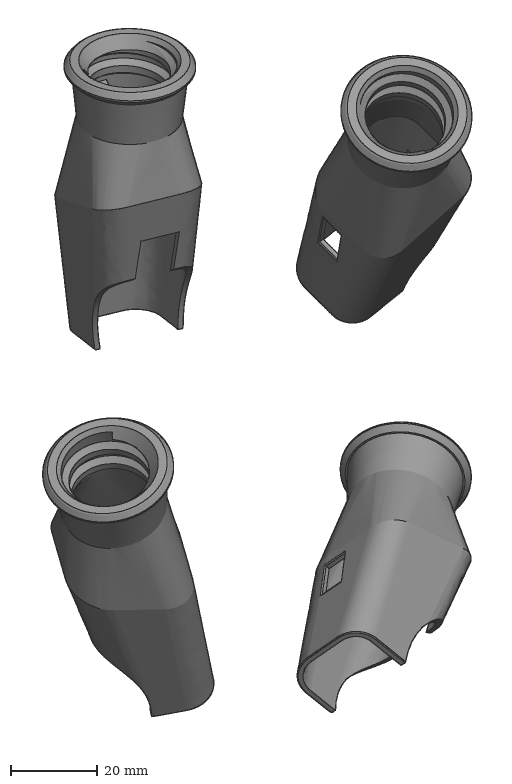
import cadquery as cq
import math

collar_center = cq.Vector(22.7, 15.3, 74.4)
collar_axis = cq.Vector(0.098, -0.046, 1).normalized()
collar_depth = 13.6
flange_radius = 15.3
flange_face_radius = 14.0
flange_step_radius = 14.35
flange_step = 0.3
flange_half_height = 1.7
flange_rim_half_height = 0.2
collar_top_radius = 13.6
collar_base_radius = 12.3
wall = 1.4
bore_radius = collar_base_radius - wall
mouth_radius = 11.9
mouth_depth = 1.2

thread_pitch = 5.4
thread_height = 1.5
thread_root_width = 4.65
thread_crest_width = 1.9
thread_turns = 2.2
thread_overlap = 0.3
thread_start_depth = 11.65

bottom_left, bottom_right = 0, 23.2
bottom_front, bottom_back = 9.55, 33.1
shoulder_left, shoulder_right = 4.35, 34.5
shoulder_back = 31.7
shoulder_left_height = 36.7
shoulder_slope = 0.272
front_lean = 0.171
bottom_corner_lengths = [6.2, 5.6, 8.0, 8.0]
shoulder_corner_lengths = [6.2, 6.45, 9.7, 8.9]

scoop_radius = 27.15
scoop_start = 16.45
window_front, window_back = 17.4, 23.4
window_bottom, window_top = 22.7, 33.7
window_bevel = 0.3
foot_chamfer = 0.2
slot_front = 13.2
middle_x = 15.5
past_part = 46.55


def shoulder_height(x):
    return shoulder_left_height + shoulder_slope * (x - shoulder_left)


def shoulder_front(x):
    return bottom_front - front_lean * shoulder_height(x)


def rounded_edges(corners, lengths):
    """Closed outline of alternating corner arcs and straight sides."""
    arcs = []
    for i, corner in enumerate(corners):
        to_previous = (corners[i - 1] - corner).normalized() * lengths[i]
        to_next = (corners[(i + 1) % len(corners)] - corner).normalized() * lengths[i]
        middle = corner + (to_previous + to_next) * (1 - math.sqrt(0.5))
        arcs.append((corner + to_previous, middle, corner + to_next))
    edges = []
    for i, arc in enumerate(arcs):
        edges.append(cq.Edge.makeThreePointArc(*arc))
        edges.append(cq.Edge.makeLine(arc[2], arcs[(i + 1) % len(arcs)][0]))
    return cq.Wire.assembleEdges(edges)


def bottom_wire(inset):
    left, right = bottom_left + inset, bottom_right - inset
    front, back = bottom_front + inset, bottom_back - inset
    plan = [(left, front), (right, front), (right, back), (left, back)]
    corners = [cq.Vector(x, y, 0) for x, y in plan]
    return rounded_edges(corners, [length - inset for length in bottom_corner_lengths])


def shoulder_wire(inset):
    left, right = shoulder_left + inset, shoulder_right - inset
    back = shoulder_back - inset
    plan = [
        (left, shoulder_front(left) + inset),
        (right, shoulder_front(right) + inset),
        (right, back),
        (left, back),
    ]
    corners = [cq.Vector(x, y, shoulder_height(x)) for x, y in plan]
    return rounded_edges(corners, [length - inset for length in shoulder_corner_lengths])


def collar_base_wire(radius):
    """Circle split into eight arcs, one for each edge of the shoulder outline."""
    center = collar_center - collar_axis * collar_depth
    across = (cq.Vector(1, 0, 0) - collar_axis * collar_axis.x).normalized()
    along = collar_axis.cross(across)

    def point(degrees):
        angle = math.radians(degrees)
        return center + across * (radius * math.cos(angle)) + along * (radius * math.sin(angle))

    corner_span = 56
    side_span = 90 - corner_span
    edges = []
    for quarter in range(4):
        start = 180 + side_span / 2 + 90 * quarter
        end = start + corner_span
        next_start = start + 90
        for first, last in ((start, end), (end, next_start)):
            middle = (first + last) / 2
            edges.append(cq.Edge.makeThreePointArc(point(first), point(middle), point(last)))
    return cq.Wire.assembleEdges(edges)


def body(inset):
    """Handle and neck, with every side moved inwards by the inset."""
    handle = cq.Solid.makeLoft([bottom_wire(inset), shoulder_wire(inset)], True)
    neck = cq.Solid.makeLoft(
        [shoulder_wire(inset), collar_base_wire(collar_base_radius - inset)], True
    )
    return cq.Workplane(handle).union(cq.Workplane(neck))


collar_plane = cq.Plane(
    collar_center.toTuple(),
    xDir=(1, 0, -collar_axis.x / collar_axis.z),
    normal=collar_axis.toTuple(),
)


def revolve_on_collar(profile):
    solid = cq.Workplane("XZ").polyline(profile).close().revolve(360, (0, 0), (0, 1))
    return solid.val().moved(cq.Location(collar_plane))


def collar():
    return revolve_on_collar([
        (0, -collar_depth),
        (collar_base_radius, -collar_depth),
        (collar_top_radius, -flange_half_height),
        (flange_face_radius, -flange_half_height),
        (flange_radius, -flange_rim_half_height),
        (flange_radius, flange_rim_half_height),
        (flange_step_radius, flange_half_height - flange_step),
        (flange_face_radius, flange_half_height),
        (0, flange_half_height),
    ])


def collar_bore():
    return revolve_on_collar([
        (0, -collar_depth),
        (bore_radius, -collar_depth),
        (bore_radius, flange_half_height),
        (0, flange_half_height),
    ])


def mouth_cone():
    """The mouth's taper carried inwards to a point, which trims the top of the thread."""
    cone_depth = mouth_depth * mouth_radius / (mouth_radius - bore_radius)
    return revolve_on_collar([
        (0, flange_half_height - cone_depth),
        (mouth_radius, flange_half_height),
        (mouth_radius, flange_half_height + thread_pitch),
        (0, flange_half_height + thread_pitch),
    ])


def thread():
    root = bore_radius + thread_overlap
    crest = bore_radius - thread_height
    profile = (
        cq.Workplane("XZ")
        .polyline([
            (root, -thread_root_width / 2),
            (crest, -thread_crest_width / 2),
            (crest, thread_crest_width / 2),
            (root, thread_root_width / 2),
        ])
        .close()
    )
    helix = cq.Wire.makeHelix(thread_pitch, thread_pitch * thread_turns, bore_radius)
    ridge = profile.sweep(cq.Workplane(helix), isFrenet=True).val()
    lowered = ridge.rotate((0, 0, 0), (0, 0, 1), 180).translate((0, 0, -thread_start_depth))
    return lowered.moved(cq.Location(collar_plane))


def scoop():
    return (
        cq.Workplane("XZ", origin=(scoop_start + scoop_radius, past_part, 0))
        .circle(scoop_radius)
        .extrude(2 * past_part)
    )


def opening(front, back, bottom, top, start_x, length):
    return cq.Workplane("XY").box(length, back - front, top - bottom, centered=False).translate(
        (start_x, front, bottom)
    )


def window():
    """Window through the left wall, bevelled where it meets the sloping outer face."""
    through = opening(
        window_front, window_back, window_bottom, window_top, -middle_x, 2 * middle_x
    )
    face_slope = (shoulder_left - bottom_left) / shoulder_left_height
    rings = []
    for depth, grow in ((-window_bevel, 2 * window_bevel), (window_bevel, 0)):
        rings.append(cq.Wire.makePolygon([
            cq.Vector(bottom_left + face_slope * z + depth, y, z)
            for y, z in (
                (window_front - grow, window_bottom - grow),
                (window_back + grow, window_bottom - grow),
                (window_back + grow, window_top + grow),
                (window_front - grow, window_top + grow),
            )
        ], close=True))
    return through.union(cq.Workplane(cq.Solid.makeLoft(rings, True)))


def slot():
    """Opening in the right wall, running from the scoop up to the window's top."""
    return opening(slot_front, window_back, 0, window_top, middle_x, past_part)


result = (
    body(0)
    .faces("<Z")
    .edges()
    .chamfer(foot_chamfer)
    .union(cq.Workplane(collar()))
    .cut(body(wall))
    .cut(cq.Workplane(collar_bore()))
    .union(cq.Workplane(thread()))
    .cut(cq.Workplane(mouth_cone()))
    .cut(scoop())
    .cut(window())
    .cut(slot())
)